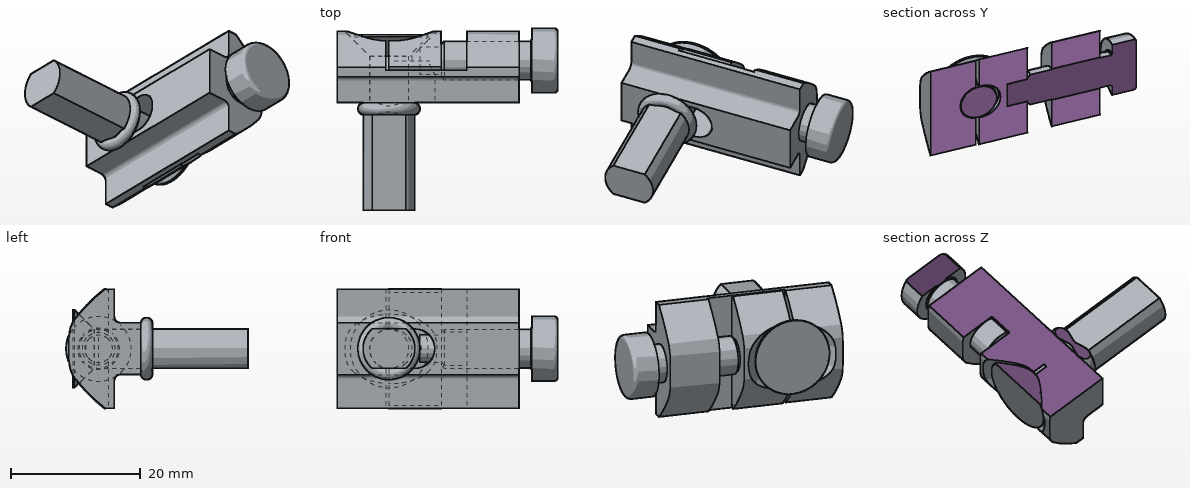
import cadquery as cq
import math


rail_length = 28.0
rail_depth = 11.0
core_half = 4.0
shoulder_y = 4.0
shoulder_fillet = 0.92
flange_half = 9.18
flange_edge_y = 5.47
slope_bow = 0.2
crown_edge_y = 10.25
crown_edge_half = 4.42
crown_flat_half = 1.8
crown_bow = 0.197

pin_x = 8.0
slit_width = 0.5
tongue_length = 8.02
window_end_x = 20.0
cut_floor_y = 5.0
tongue_overhang = 0.05
tongue_half = flange_half + tongue_overhang
tongue_lip_radius = 0.55
tongue_start_x = pin_x
tongue_end_x = tongue_start_x + tongue_length

shank_diameter = 6.0
head_diameter = 12.0
head_rim_y = 10.15
head_top_y = 10.47
shaft_diameter = 8.0
shaft_flat_width = 6.05
pin_end_y = -16.55
collar_diameter = 9.6
collar_thickness = 1.87
shank_radius = shank_diameter / 2
head_radius = head_diameter / 2
cone_start_y = head_rim_y - (head_radius - shank_radius)

slot_width = 6.05
slot_travel = 4.0
seat_overrun = 0.35
seat_travel = slit_width

screw_y = 6.5
screw_diameter = 6.0
screw_tip_diameter = 4.25
screw_tip_x = 12.75
screw_chamfer = 0.48
screw_neck_fillet = 0.2
screw_head_diameter = 10.0
screw_head_x = 30.0
screw_head_edge = 0.6
screw_end_x = 34.0


def bowed_middle(start, end, bow):
    """Point beside the middle of a chord, offset by bow to the outside of the section."""
    run = end[0] - start[0]
    rise = end[1] - start[1]
    chord = math.hypot(run, rise)
    middle_z = (start[0] + end[0]) / 2
    middle_y = (start[1] + end[1]) / 2
    return (middle_z + bow * rise / chord, middle_y - bow * run / chord)


def rail_section_extrusion(lower_points, flange_corner, x_start, length, lip_radius=0):
    """Extrude half a section (z, y) with a curved back along X and mirror it.

    A lip radius rounds the section from the last lower point up to the flange corner.
    """
    crown_edge = (crown_edge_half, crown_edge_y)
    crown_flat = (crown_flat_half, rail_depth)
    plane = cq.Plane(origin=(x_start, 0, 0), xDir=(0, 0, 1), normal=(-1, 0, 0))
    outline = cq.Workplane(plane).polyline(lower_points)
    if lip_radius > 0:
        lip_middle = bowed_middle(lower_points[-1], flange_corner, lip_radius * (1 - math.sqrt(0.5)))
        outline = outline.threePointArc(lip_middle, flange_corner)
    else:
        outline = outline.lineTo(*flange_corner)
    half = (
        outline
        .threePointArc(bowed_middle(flange_corner, crown_edge, slope_bow), crown_edge)
        .threePointArc(bowed_middle(crown_edge, crown_flat, crown_bow), crown_flat)
        .lineTo(0, rail_depth)
        .close()
        .extrude(-length)
    )
    return half.union(half.mirror("XY"))


def y_cylinder(x, radius, y_start, y_end):
    """Cylinder along Y."""
    return cq.Workplane(
        cq.Solid.makeCylinder(radius, y_end - y_start, cq.Vector(x, y_start, 0), cq.Vector(0, 1, 0))
    )


def y_cone(x, start_radius, y_start, y_end):
    """45 degree cone widening along +Y."""
    height = y_end - y_start
    return cq.Workplane(
        cq.Solid.makeCone(
            start_radius, start_radius + height, height, cq.Vector(x, y_start, 0), cq.Vector(0, 1, 0)
        )
    )


def y_slot(travel, y_end):
    """Slot through the narrow face, from the pin axis toward +X."""
    radius = slot_width / 2
    start = y_cylinder(pin_x, radius, 0, y_end)
    finish = y_cylinder(pin_x + travel, radius, 0, y_end)
    middle = cq.Workplane().box(travel, y_end, slot_width, centered=(False, False, True))
    return start.union(middle.translate((pin_x, 0, 0))).union(finish)


def conical_seat():
    """Conical recess for the pin head, lengthened along X."""
    top_y = rail_depth + seat_overrun
    top_radius = shank_radius + top_y - cone_start_y
    start = y_cone(pin_x, shank_radius, cone_start_y, top_y)
    finish = y_cone(pin_x + seat_travel, shank_radius, cone_start_y, top_y)
    side_plane = cq.Plane(origin=(pin_x, 0, 0), xDir=(0, 0, 1), normal=(-1, 0, 0))
    middle = (
        cq.Workplane(side_plane)
        .polyline(
            [
                (-shank_radius, cone_start_y),
                (shank_radius, cone_start_y),
                (top_radius, top_y),
                (-top_radius, top_y),
            ]
        )
        .close()
        .extrude(-seat_travel)
    )
    return start.union(middle).union(finish)


def make_screw():
    """Cap screw along X with a narrower tip."""
    radius = screw_diameter / 2
    tip_radius = screw_tip_diameter / 2
    return (
        cq.Workplane()
        .polyline(
            [
                (screw_tip_x, 0),
                (screw_tip_x, tip_radius),
                (tongue_end_x, tip_radius),
                (tongue_end_x, radius - screw_chamfer),
                (tongue_end_x + screw_chamfer, radius),
                (screw_head_x - screw_neck_fillet, radius),
            ]
        )
        .radiusArc((screw_head_x, radius + screw_neck_fillet), screw_neck_fillet)
        .polyline(
            [
                (screw_head_x, screw_head_diameter / 2),
                (screw_end_x, screw_head_diameter / 2),
                (screw_end_x, 0),
            ],
            includeCurrent=True,
        )
        .close()
        .revolve(360, (0, 0), (1, 0))
        .faces(">X")
        .edges()
        .fillet(screw_head_edge)
        .translate((0, screw_y, 0))
    )


def make_pin():
    """Countersunk pin with a round collar and a shaft with two flats."""
    shank = y_cylinder(pin_x, shank_radius, 0, cone_start_y)
    cone = y_cone(pin_x, shank_radius, cone_start_y, head_rim_y)
    rim = y_cylinder(pin_x, head_radius, head_rim_y, head_top_y)

    shaft_length = -pin_end_y
    flats = cq.Workplane().box(shaft_diameter, shaft_length, shaft_flat_width, centered=(True, False, True))
    shaft = y_cylinder(pin_x, shaft_diameter / 2, pin_end_y, 0)
    shaft = shaft.intersect(flats.translate((pin_x, pin_end_y, 0)))

    tube_radius = collar_thickness / 2
    tube_centre_radius = collar_diameter / 2 - tube_radius
    tube_plane = cq.Plane(
        origin=(pin_x + tube_centre_radius, -tube_radius, 0), xDir=(-1, 0, 0), normal=(0, 0, 1)
    )
    ring = (
        cq.Workplane(tube_plane)
        .circle(tube_radius)
        .revolve(360, (tube_centre_radius, 0), (tube_centre_radius, 1))
    )
    return shank.union(cone).union(rim).union(shaft).union(ring)


def make_housing(screw):
    """T-section rail with the cross cuts, the tongue, the pin openings and the screw bore."""
    rail = rail_section_extrusion(
        [
            (0, 0),
            (core_half, 0),
            (core_half, shoulder_y),
            (flange_half, shoulder_y),
        ],
        (flange_half, flange_edge_y),
        0,
        rail_length,
    )
    inner_corners = cq.selectors.BoxSelector(
        (-0.35, shoulder_y - 0.35, -core_half - 0.35), (rail_length + 0.35, shoulder_y + 0.35, core_half + 0.35)
    )
    rail = rail.edges("|X").edges(inner_corners).fillet(shoulder_fillet)

    slit_start_x = pin_x - slit_width
    cross_cut = cq.Workplane().box(
        window_end_x - slit_start_x, rail_depth, 2 * flange_half, centered=(False, False, True)
    )
    rail = rail.cut(cross_cut.translate((slit_start_x, cut_floor_y, 0)))

    tongue = rail_section_extrusion(
        [(0, cut_floor_y), (tongue_half - tongue_lip_radius, cut_floor_y)],
        (tongue_half, cut_floor_y + tongue_lip_radius),
        tongue_start_x,
        tongue_length,
        tongue_lip_radius,
    )
    return (
        rail.union(tongue)
        .cut(y_slot(slot_travel, screw_y))
        .cut(y_slot(seat_travel, rail_depth))
        .cut(conical_seat())
        .cut(screw)
    )


screw = make_screw()
pin = make_pin()
housing = make_housing(screw)

result = cq.Compound.makeCompound([body.solids().val() for body in (housing, pin, screw)])